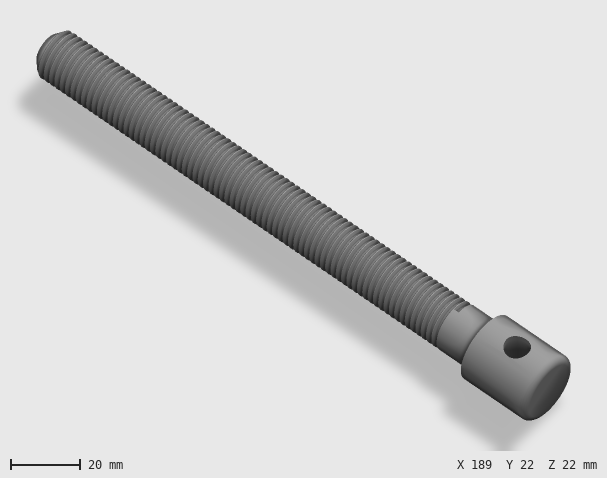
import cadquery as cq
import math

total_length = 189.0
head_diameter = 22.0
head_length = 24.0
head_end_radius = 2.0
shank_diameter = 16.0
neck_fillet = 1.0
tip_chamfer = 3.0
cross_hole_diameter = 8.0

thread_end = 154.0
thread_turns = 77
thread_half_angle = math.radians(30)
thread_pitch = thread_end / thread_turns
sharp_thread_height = thread_pitch / (2 * math.tan(thread_half_angle))
thread_depth = sharp_thread_height * 5 / 8
crest_flat = thread_pitch / 8
groove_overcut = 0.1
lead_in_turns = 2

head_start = total_length - head_length
head_radius = head_diameter / 2
shank_radius = shank_diameter / 2


def make_blank():
    """Chamfered shank with a filleted neck and a rounded head, revolved about X."""
    tip_radius = shank_radius - tip_chamfer
    arc_offset = head_end_radius * math.sin(math.radians(45))
    end_arc_middle = (
        total_length - head_end_radius + arc_offset,
        head_radius - head_end_radius + arc_offset,
    )
    neck_offset = neck_fillet * math.sin(math.radians(45))
    neck_arc_middle = (
        head_start - neck_fillet + neck_offset,
        shank_radius + neck_fillet - neck_offset,
    )
    return (
        cq.Workplane("XY")
        .moveTo(0, 0)
        .lineTo(0, tip_radius)
        .lineTo(tip_chamfer, shank_radius)
        .lineTo(head_start - neck_fillet, shank_radius)
        .threePointArc(neck_arc_middle, (head_start, shank_radius + neck_fillet))
        .lineTo(head_start, head_radius)
        .lineTo(total_length - head_end_radius, head_radius)
        .threePointArc(end_arc_middle, (total_length, head_radius - head_end_radius))
        .lineTo(total_length, 0)
        .close()
        .revolve(360, (0, 0, 0), (1, 0, 0))
    )


def make_thread_groove():
    """Helical trapezoid that starts before the tip and stops on the +Z side."""
    turns = thread_turns + lead_in_turns
    helix_length = turns * thread_pitch
    root_radius = shank_radius - thread_depth
    mouth_radius = shank_radius + groove_overcut
    flank_slope = math.tan(thread_half_angle)
    mouth_half_width = (thread_pitch - crest_flat) / 2 + groove_overcut * flank_slope
    root_half_width = (thread_pitch - crest_flat) / 2 - thread_depth * flank_slope

    profile = [
        (root_radius, -root_half_width),
        (mouth_radius, -mouth_half_width),
        (mouth_radius, mouth_half_width),
        (root_radius, root_half_width),
    ]

    def profile_helix(corner):
        radius, height = corner
        helix = cq.Wire.makeHelix(thread_pitch, thread_pitch, radius)
        return helix.translate(cq.Vector(0, 0, height))

    def end_cap(height):
        corners = [cq.Vector(radius, 0, z + height) for radius, z in profile]
        return cq.Face.makeFromWires(cq.Wire.makePolygon(corners, close=True))

    helices = [profile_helix(corner) for corner in profile]
    walls = [cq.Face.makeRuledSurface(helices[i - 1], helices[i]) for i in range(len(helices))]
    faces = [end_cap(0), end_cap(helix_length)]
    for turn in range(turns):
        faces += [wall.translate(cq.Vector(0, 0, turn * thread_pitch)) for wall in walls]
    groove = cq.Workplane(obj=cq.Solid.makeSolid(cq.Shell.makeShell(faces)))
    return (
        groove.rotate((0, 0, 0), (0, 1, 0), 90)
        .rotate((0, 0, 0), (1, 0, 0), 180)
        .translate((thread_end - helix_length, 0, 0))
    )


def make_cross_hole():
    """Vertical through hole in the middle of the head."""
    return (
        cq.Workplane("XY", origin=(head_start + head_length / 2, 0, -head_radius))
        .circle(cross_hole_diameter / 2)
        .extrude(head_diameter)
    )


result = make_blank().cut(make_thread_groove()).cut(make_cross_hole())